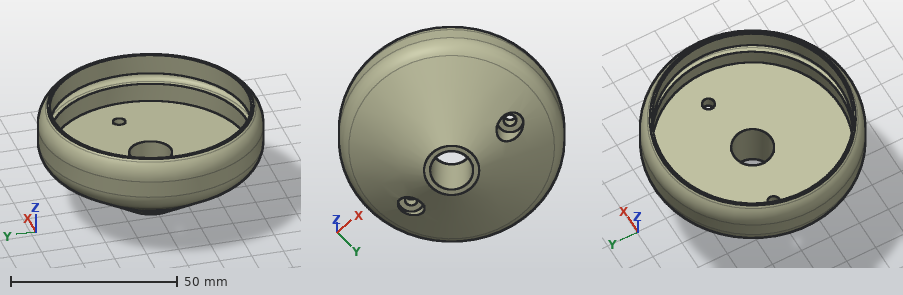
import cadquery as cq
import math

outer_radius = 34.0
height = 32.85

band_bottom_z = 21.3
band_top_z = 26.6
upper_shoulder_radius = 7.9
upper_shoulder_turn = 45.0
lower_shoulder_radius = 7.0
lower_shoulder_turn = 56.0
cone_bottom_radius = 8.3

bore_radius = 60.6 / 2
floor_z = 16.85
groove_bottom_z = 22.85
groove_round_radius = 1.85
groove_round_centre = 31.75

centre_hole_diameter = 12.9
screw_hole_diameter = 3.8
screw_head_diameter = 8.0
screw_seat_z = 12.8
screw_x = 20.0
screw_y = 4.0


def shoulder_point(arc_radius, turn, band_edge_z, direction):
    """Point on a shoulder arc after turning away from the band, upwards (1) or downwards (-1)."""
    angle = math.radians(turn)
    radius = outer_radius - arc_radius * (1 - math.cos(angle))
    return radius, band_edge_z + direction * arc_radius * math.sin(angle)


def revolve_profile(profile):
    """Close a radius-height profile and turn it about the Z axis."""
    return profile.close().revolve(360, (0, 0, 0), (0, 1, 0))


def make_body():
    lower_middle = shoulder_point(lower_shoulder_radius, lower_shoulder_turn / 2, band_bottom_z, -1)
    lower_end = shoulder_point(lower_shoulder_radius, lower_shoulder_turn, band_bottom_z, -1)
    upper_middle = shoulder_point(upper_shoulder_radius, upper_shoulder_turn / 2, band_top_z, 1)
    upper_end = shoulder_point(upper_shoulder_radius, upper_shoulder_turn, band_top_z, 1)
    rim_radius = upper_end[0] - (height - upper_end[1])
    profile = (
        cq.Workplane("XZ")
        .lineTo(cone_bottom_radius, 0)
        .lineTo(*lower_end)
        .threePointArc(lower_middle, (outer_radius, band_bottom_z))
        .lineTo(outer_radius, band_top_z)
        .threePointArc(upper_middle, upper_end)
        .lineTo(rim_radius, height)
        .lineTo(0, height)
    )
    return revolve_profile(profile)


def make_cavity():
    bore = (
        cq.Workplane("XY", origin=(0, 0, floor_z))
        .circle(bore_radius)
        .extrude(height - floor_z)
    )
    return bore.union(make_groove())


def make_groove():
    """Groove in the bore wall with flat sides and a half-round outer end."""
    groove_middle_z = groove_bottom_z + groove_round_radius
    groove_top_z = groove_middle_z + groove_round_radius
    profile = (
        cq.Workplane("XZ")
        .moveTo(0, groove_bottom_z)
        .lineTo(groove_round_centre, groove_bottom_z)
        .threePointArc(
            (groove_round_centre + groove_round_radius, groove_middle_z),
            (groove_round_centre, groove_top_z),
        )
        .lineTo(0, groove_top_z)
    )
    return revolve_profile(profile)


def vertical_holes(points, diameter, depth):
    """Round cutters rising from the bottom plane."""
    return cq.Workplane("XY").pushPoints(points).circle(diameter / 2).extrude(depth)


screw_points = [(-screw_x, screw_y), (screw_x, screw_y)]

result = (
    make_body()
    .cut(make_cavity())
    .cut(vertical_holes([(0, 0)], centre_hole_diameter, height))
    .cut(vertical_holes(screw_points, screw_hole_diameter, height))
    .cut(vertical_holes(screw_points, screw_head_diameter, screw_seat_z))
)